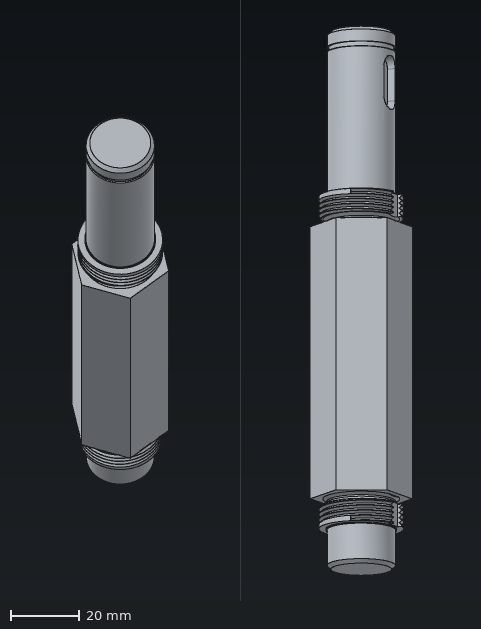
import cadquery as cq
import math

TOTAL_LENGTH = 160.3

HEX_FLATS = 26.0
HEX_BOTTOM = 21.0
HEX_TOP = 102.3

ROD_DIAMETER = 20.0
ROD_CHAMFER = 1.1

NECK_LENGTH = 9.0
COLLAR_DIAMETER = 20.7
COLLAR_HEIGHT = 0.3

UNDERCUT_MOUTH_RADIUS = 11.2
UNDERCUT_RADIUS = 10.1
UNDERCUT_NARROW_START = 0.8
UNDERCUT_NARROW_END = 1.3
UNDERCUT_LENGTH = 2.2

THREAD_DIAMETER = 24.8
THREAD_PITCH = 1.5
THREAD_DEPTH = 0.8
THREAD_TURNS = 5
THREAD_FLAT = 0.2
THREAD_END_INSET = 0.8
THREAD_END_ANGLE = 15

LOCK_SLOT_WIDTH = 5.0
LOCK_SLOT_DEPTH = 1.6

RING_GROOVE_BOTTOM = 154.2
RING_GROOVE_WIDTH = 1.5
RING_GROOVE_DEPTH = 0.5

KEYWAY_BOTTOM = 136.3
KEYWAY_LENGTH = 16.0
KEYWAY_WIDTH = 6.4
KEYWAY_DEPTH = 3.0

CUT_MARGIN = 0.2

HEX_CORNERS = HEX_FLATS / math.cos(math.pi / 6)
HEX_LENGTH = HEX_TOP - HEX_BOTTOM
ROD_RADIUS = ROD_DIAMETER / 2
THREAD_RADIUS = THREAD_DIAMETER / 2
THREAD_ROOT_RADIUS = THREAD_RADIUS - THREAD_DEPTH


def rod():
    """Full-length round bar with chamfered ends."""
    return (
        cq.Workplane("XY")
        .circle(ROD_RADIUS)
        .extrude(TOTAL_LENGTH)
        .faces("<Z or >Z")
        .chamfer(ROD_CHAMFER)
    )


def hexagon():
    """Central hexagon with two corners on the X axis."""
    return (
        cq.Workplane("XY", origin=(0, 0, HEX_BOTTOM))
        .polygon(6, HEX_CORNERS)
        .extrude(HEX_LENGTH)
    )


def thread_groove():
    """Left-hand helical V groove that runs out of the undercut."""
    rise = THREAD_PITCH * THREAD_TURNS
    start = NECK_LENGTH - THREAD_END_INSET - rise
    helix = cq.Wire.makeHelix(
        THREAD_PITCH, rise, THREAD_RADIUS, center=cq.Vector(0, 0, start), lefthand=True
    )
    outer_radius = THREAD_RADIUS + CUT_MARGIN
    half_width = (THREAD_PITCH - THREAD_FLAT) / 2
    outer_half_width = half_width * (THREAD_DEPTH + CUT_MARGIN) / THREAD_DEPTH
    groove = (
        cq.Workplane("XZ")
        .moveTo(THREAD_ROOT_RADIUS, start)
        .lineTo(outer_radius, start + outer_half_width)
        .lineTo(outer_radius, start - outer_half_width)
        .close()
        .sweep(cq.Workplane(helix), isFrenet=True)
    )
    return groove.rotate((0, 0, 0), (0, 0, 1), THREAD_END_ANGLE)


def lock_slot():
    """Slot along the +Y side of the threaded neck."""
    return (
        cq.Workplane("XY")
        .center(0, THREAD_RADIUS)
        .rect(LOCK_SLOT_WIDTH, 2 * LOCK_SLOT_DEPTH)
        .extrude(NECK_LENGTH)
    )


def threaded_neck():
    """Undercut, slotted thread and collar rising from a hexagon face at Z = 0."""
    blank = (
        cq.Workplane("XZ")
        .lineTo(UNDERCUT_MOUTH_RADIUS, 0)
        .lineTo(UNDERCUT_RADIUS, UNDERCUT_NARROW_START)
        .lineTo(UNDERCUT_RADIUS, UNDERCUT_NARROW_END)
        .lineTo(UNDERCUT_MOUTH_RADIUS, UNDERCUT_LENGTH)
        .lineTo(THREAD_RADIUS, UNDERCUT_LENGTH)
        .lineTo(THREAD_RADIUS, NECK_LENGTH)
        .lineTo(COLLAR_DIAMETER / 2, NECK_LENGTH)
        .lineTo(COLLAR_DIAMETER / 2, NECK_LENGTH + COLLAR_HEIGHT)
        .lineTo(0, NECK_LENGTH + COLLAR_HEIGHT)
        .close()
        .revolve(360, (0, 0), (0, 1))
    )
    return blank.cut(thread_groove()).cut(lock_slot())


def ring_groove():
    """Shallow groove around the rod near its top end."""
    return (
        cq.Workplane("XY", origin=(0, 0, RING_GROOVE_BOTTOM))
        .circle(ROD_RADIUS + CUT_MARGIN)
        .circle(ROD_RADIUS - RING_GROOVE_DEPTH)
        .extrude(RING_GROOVE_WIDTH)
    )


def keyway():
    """Round-ended keyway along the +Y side of the rod."""
    return (
        cq.Workplane("XZ", origin=(0, ROD_RADIUS, KEYWAY_BOTTOM + KEYWAY_LENGTH / 2))
        .slot2D(KEYWAY_LENGTH, KEYWAY_WIDTH, 90)
        .extrude(KEYWAY_DEPTH)
    )


upper_neck = threaded_neck()
lower_neck = upper_neck.mirror("XY")

result = (
    rod()
    .cut(ring_groove())
    .cut(keyway())
    .union(hexagon())
    .union(upper_neck.translate((0, 0, HEX_TOP)))
    .union(lower_neck.translate((0, 0, HEX_BOTTOM)))
)